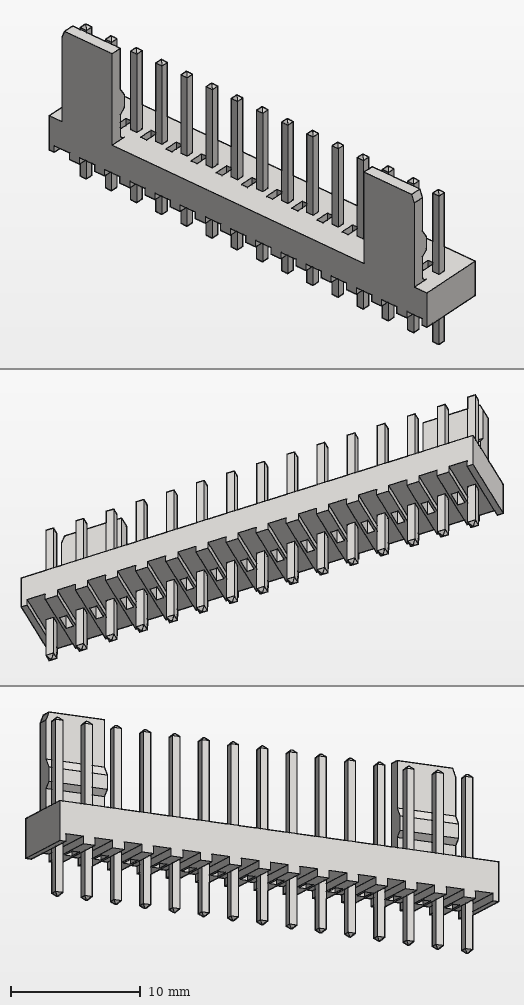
import cadquery as cq


base_length = 38.1
base_depth = 5.8
base_height = 3.2
front_y = -base_depth / 2

pin_count = 15
pitch = base_length / pin_count
pin_width = 0.65
pin_top = base_height + 7.55
pin_bottom = -3.6
pin_tip_size = 0.25

groove_width = 1.52
groove_depth = 0.6

window_width = 0.6
window_depth = 1.25

plate_width = 2 * pitch
plate_height = 8.5
plate_thickness = 1.0
plate_top = base_height + plate_height
plate_corner_width = 0.25
plate_corner_height = 0.7
plate_root_radius = 0.5

ridge_depth = 0.5
ridge_bottom = 2.32
ridge_flat_bottom = 2.8
ridge_flat_top = 3.92
ridge_top = 4.7

first_pin_x = -(pin_count - 1) * pitch / 2
pin_points = [(first_pin_x + i * pitch, 0) for i in range(pin_count)]
window_points = [(x + pitch / 2, y) for x, y in pin_points[:-1]]


def make_base():
    base = cq.Workplane("XY").box(base_length, base_depth, base_height, centered=(True, True, False))
    grooves = (
        cq.Workplane("XY")
        .pushPoints(pin_points)
        .rect(groove_width, base_depth)
        .extrude(groove_depth)
    )
    windows = (
        cq.Workplane("XY")
        .pushPoints(window_points)
        .rect(window_width, window_depth)
        .extrude(base_height)
    )
    return base.cut(grooves).cut(windows)


def make_pin(x):
    """Square pin with a blunt pyramid at both ends."""
    length = pin_top - pin_bottom
    pin = cq.Workplane("XY").box(pin_width, pin_width, length, centered=(True, True, False))
    pin = pin.faces("<Z or >Z").chamfer(pin_tip_size)
    return pin.translate((x, 0, pin_bottom))


def make_left_plate():
    """Plate with a latch ridge, a filleted root and a cut-off outer top corner."""
    inner_y = front_y + plate_thickness
    ridge_y = inner_y + ridge_depth
    outer_x = first_pin_x
    plate = (
        cq.Workplane("YZ", origin=(outer_x, 0, 0))
        .moveTo(front_y, base_height)
        .lineTo(inner_y + plate_root_radius, base_height)
        .radiusArc((inner_y, base_height + plate_root_radius), plate_root_radius)
        .lineTo(inner_y, base_height + ridge_bottom)
        .lineTo(ridge_y, base_height + ridge_flat_bottom)
        .lineTo(ridge_y, base_height + ridge_flat_top)
        .lineTo(inner_y, base_height + ridge_top)
        .lineTo(inner_y, plate_top)
        .lineTo(front_y, plate_top)
        .close()
        .extrude(plate_width)
    )
    corner = (
        cq.Workplane("XZ", origin=(0, front_y, 0))
        .moveTo(outer_x, plate_top)
        .lineTo(outer_x + plate_corner_width, plate_top)
        .lineTo(outer_x, plate_top - plate_corner_height)
        .close()
        .extrude(-plate_thickness)
    )
    return plate.cut(corner)


left_plate = make_left_plate()
right_plate = left_plate.mirror("YZ")
result = make_base().union(left_plate).union(right_plate)
for pin_x, _ in pin_points:
    result = result.union(make_pin(pin_x))